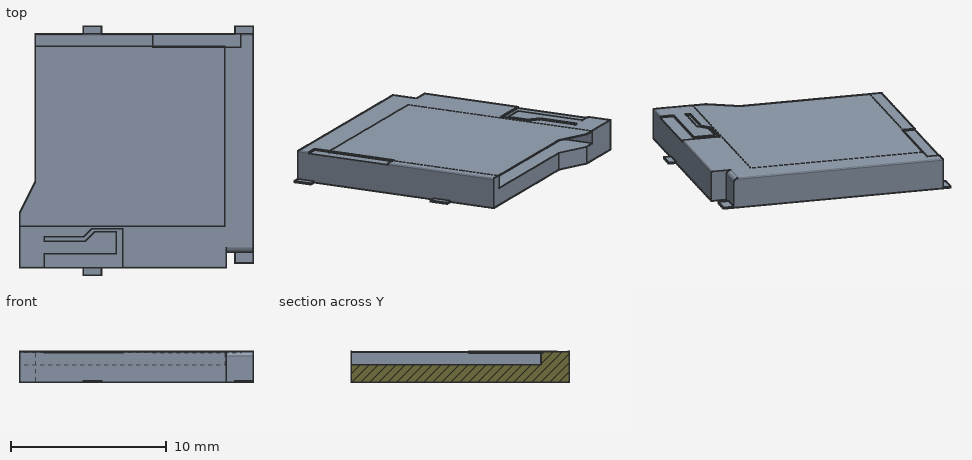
import cadquery as cq

length = 15.0
depth = 15.0
height = 2.0
sheet = 0.1
roof = 0.05
edge_radius = 0.06

side_setback = 1.0
slant_front = 3.52
slant_back = 5.5

notch_left = 13.28
notch_depth = 1.0
notch_radius = 0.3

cavity_floor = 1.14
cavity_front = 2.65
cavity_back = 14.2
cavity_end = 13.18

cutout_left = 1.58
cutout_right = 6.62
cutout_back = 2.5
slit_back = 2.0
slit_front = 1.7
tongue_front = 0.9
tongue_right = 6.2
tongue_back = 2.3
outer_bend_x = 4.13
inner_bend_x = 4.2

back_cutout_left = 8.56
back_cutout_right = 14.2
back_cutout_front = 14.16

tab_width = 1.18
tab_reach = 0.5
left_tab_x = 4.08
right_tab_x = length - tab_width
corner_tab_front = 0.3


def block(x0, x1, y0, y1, z0, z1):
    """Box between two opposite corners."""
    return cq.Workplane("XY").box(x1 - x0, y1 - y0, z1 - z0, centered=False).translate((x0, y0, z0))


def make_body():
    """Stepped housing with bent top edges and the corner notch."""
    outline = [
        (0, 0),
        (length, 0),
        (length, depth),
        (side_setback, depth),
        (side_setback, slant_back),
        (0, slant_front),
    ]
    body = cq.Workplane("XY").polyline(outline).close().extrude(height)
    body = body.faces(">Z").edges("<Y or >Y or >X").fillet(edge_radius)
    body = body.cut(block(notch_left, length, 0, notch_depth, 0, height))

    centre_y = notch_depth + notch_radius
    centre_z = height - notch_radius
    corner = block(notch_left, length, notch_depth, centre_y, centre_z, height)
    roll = (
        cq.Workplane("YZ", origin=(notch_left, centre_y, centre_z))
        .circle(notch_radius)
        .extrude(length - notch_left)
    )
    return body.cut(corner.cut(roll))


def make_front_cutout():
    """Clearance through the cover that outlines the spring tongue."""
    outer_rise = cutout_back - slit_back
    inner_rise = tongue_back - slit_front
    outline = [
        (cutout_left, 0),
        (cutout_right, 0),
        (cutout_right, cutout_back),
        (outer_bend_x + outer_rise, cutout_back),
        (outer_bend_x, slit_back),
        (cutout_left, slit_back),
        (cutout_left, slit_front),
        (inner_bend_x, slit_front),
        (inner_bend_x + inner_rise, tongue_back),
        (tongue_right, tongue_back),
        (tongue_right, tongue_front),
        (cutout_left, tongue_front),
    ]
    plane = cq.Workplane("XY", origin=(0, 0, height - sheet))
    return plane.polyline(outline).close().extrude(sheet)


cavity = block(0, cavity_end, cavity_front, cavity_back, cavity_floor, height - roof)
back_cutout = block(
    back_cutout_left, back_cutout_right, back_cutout_front, depth, height - sheet, height
)
result = make_body().cut(cavity).cut(make_front_cutout()).cut(back_cutout)

tabs = [
    (left_tab_x, -tab_reach, 0),
    (left_tab_x, depth, depth + tab_reach),
    (right_tab_x, corner_tab_front, notch_depth),
    (right_tab_x, depth, depth + tab_reach),
]
for tab_x, tab_front, tab_back in tabs:
    result = result.union(block(tab_x, tab_x + tab_width, tab_front, tab_back, 0, sheet))